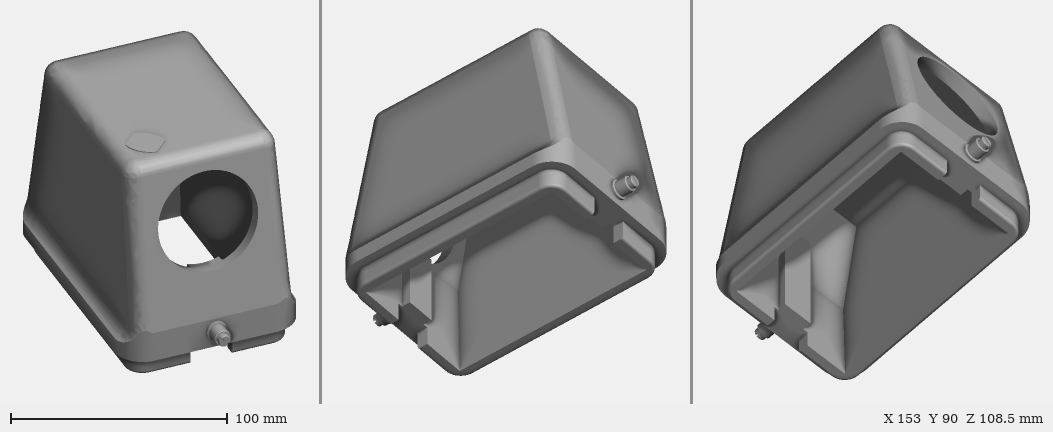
import cadquery as cq
import math

overall_length = 153.0
overall_height = 108.5
badge_height = 0.5
hood_top = overall_height - badge_height
solid_overlap = 1.5
selection_margin = 0.2

collar_length = 132.2
collar_width = 90.0
collar_corner_radius = 14.0
collar_bottom = 10.3
crease_height = 25.5
step_radius = 9.2
step_bottom = 16.8

end_slope = math.tan(math.radians(11.0))
side_slope = math.tan(math.radians(1.5))
hood_width_at_crease = 80.3
hood_edge_radius = 7.0

skirt_length = 121.5
skirt_width = 79.9
skirt_corner_radius = 9.0
skirt_bottom_radius = 1.5
notch_width = 21.1

wall = 6.5
cavity_length = 110.2
rib_width = 15.9
rib_inner_x = 50.5

entry_diameter = 50.0
entry_center_x = 56.8
entry_depth = 15.3

badge_center = (33.4, -21.4)
badge_angle = 45.0
badge_length = 15.8
badge_end_width = 10.5
badge_bulge = 2.5

pin_height = 19.1
pin_diameter = 6.1
pin_inner_x = cavity_length / 2
pin_turns = (0, 180)
tip_diameter = 6.0
tip_length = 2.3
pin_tip_chamfer = 0.3
slot_width = 0.9
slot_depth = 1.2
slot_angle = 45.0
sleeve_diameter = 8.0
sleeve_outer_x = 73.7
sleeve_face_diameter = 7.3
washer_diameter = 10.0
washer_thickness = 1.4
washer_rim = 1.0


def frustum(bottom, top, inset):
    """Four-sided tapered block that follows the hood's faces, moved inward by inset."""
    def section(z):
        rise = z - crease_height
        length = collar_length - 2 * (rise * end_slope + inset * math.hypot(1, end_slope))
        width = hood_width_at_crease - 2 * (rise * side_slope + inset * math.hypot(1, side_slope))
        return length, width

    return (
        cq.Workplane("XY", origin=(0, 0, bottom))
        .rect(*section(bottom))
        .workplane(offset=top - bottom)
        .rect(*section(top))
        .loft(ruled=True, combine=True)
    )


def rounded_block(length, width, corner_radius, bottom, top):
    """Upright block with rounded vertical edges."""
    return (
        cq.Workplane("XY", origin=(0, 0, bottom))
        .rect(length, width)
        .extrude(top - bottom)
        .edges("|Z")
        .fillet(corner_radius)
    )


def make_outer_shell():
    """Solid hood and collar: the hood blends into a broad foot that is trimmed to the collar."""
    hood = frustum(collar_bottom, hood_top, 0)
    hood = hood.edges("not(#Z)").fillet(hood_edge_radius)
    hood = hood.faces(">Z").edges().fillet(hood_edge_radius)

    foot_margin = 4 * step_radius
    foot = (
        cq.Workplane("XY", origin=(0, 0, collar_bottom))
        .rect(collar_length + foot_margin, collar_width + foot_margin)
        .extrude(step_bottom - collar_bottom)
    )
    junction = cq.selectors.BoxSelector(
        (-collar_length / 2 - step_radius, -collar_width / 2, step_bottom - selection_margin),
        (collar_length / 2 + step_radius, collar_width / 2, step_bottom + selection_margin),
    )
    blended = foot.union(hood).edges(junction).fillet(step_radius)
    collar_outline = rounded_block(
        collar_length, collar_width, collar_corner_radius, collar_bottom, hood_top
    )
    return blended.intersect(collar_outline)


def make_skirt():
    """Plug-in skirt with a rounded bottom rim."""
    skirt = rounded_block(
        skirt_length, skirt_width, skirt_corner_radius, 0, collar_bottom + solid_overlap
    )
    return skirt.faces("<Z").edges().fillet(skirt_bottom_radius)


def make_cavity():
    """Space inside the hood, open at the bottom, with a rib at each end left standing."""
    cavity_top = hood_top - wall
    straight_limit = (
        cq.Workplane("XY").rect(cavity_length, collar_width).extrude(hood_top)
    )
    cavity = frustum(0, cavity_top, wall).intersect(straight_limit)
    rib_depth = collar_length / 2 - rib_inner_x
    for side in (-1, 1):
        rib = (
            cq.Workplane("XY", origin=(side * (rib_inner_x + rib_depth / 2), 0, collar_bottom))
            .rect(rib_depth, rib_width)
            .extrude(hood_top - collar_bottom)
        )
        cavity = cavity.cut(rib)
    return cavity


def make_cable_entry():
    """Round cutter square to the sloping +X end face."""
    center_z = crease_height + (collar_length / 2 - entry_center_x) / end_slope
    face_plane = cq.Plane(
        origin=(entry_center_x, 0, center_z), xDir=(0, 1, 0), normal=(1, 0, end_slope)
    )
    return (
        cq.Workplane(face_plane)
        .workplane(offset=-entry_depth)
        .circle(entry_diameter / 2)
        .extrude(2 * entry_depth)
    )


def make_badge():
    """Barrel-shaped pad with two straight ends and two bowed sides."""
    half_length = badge_length / 2
    half_end = badge_end_width / 2
    bow = half_end + badge_bulge
    return (
        cq.Workplane("XY")
        .moveTo(-half_length, -half_end)
        .threePointArc((0, -bow), (half_length, -half_end))
        .lineTo(half_length, half_end)
        .threePointArc((0, bow), (-half_length, half_end))
        .close()
        .extrude(badge_height + solid_overlap)
        .rotate((0, 0, 0), (0, 0, 1), badge_angle)
        .translate((*badge_center, hood_top - solid_overlap))
    )


def round_bar(diameter, inner_x, outer_x):
    """Cylinder on the +X pin axis between two distances from the centre."""
    return (
        cq.Workplane("YZ", origin=(inner_x, 0, pin_height))
        .circle(diameter / 2)
        .extrude(outer_x - inner_x)
    )


def turned(body, turn):
    """Copy of a +X body turned about the hood's vertical axis."""
    return body.rotate((0, 0, 0), (0, 0, 1), turn)


def make_housing():
    """Hollow hood with skirt, end notches, cable entry, badge and pin holes."""
    notch = (
        cq.Workplane("XY").rect(collar_length, notch_width).extrude(collar_bottom)
    )
    pin_hole = round_bar(pin_diameter, pin_inner_x, collar_length / 2)
    housing = make_outer_shell().union(make_skirt()).cut(make_cavity()).cut(notch)
    housing = housing.cut(make_cable_entry()).union(make_badge())
    for turn in pin_turns:
        housing = housing.cut(turned(pin_hole, turn))
    return housing


def make_pin():
    """Pin with a slightly thinner, chamfered tip and a slanted screwdriver slot."""
    tip_x = overall_length / 2
    shoulder_x = tip_x - tip_length
    tip = round_bar(tip_diameter, shoulder_x, tip_x).faces(">X").chamfer(pin_tip_chamfer)
    pin = round_bar(pin_diameter, pin_inner_x, shoulder_x).union(tip)
    slot = (
        cq.Workplane("XY")
        .box(2 * slot_depth, slot_width, 2 * pin_diameter)
        .rotate((0, 0, 0), (1, 0, 0), slot_angle)
        .translate((tip_x, 0, pin_height))
    )
    return pin.cut(slot)


def make_sleeve():
    """Tube around the pin, chamfered at its outer face."""
    inner_x = collar_length / 2 + washer_thickness
    chamfer = (sleeve_diameter - sleeve_face_diameter) / 2
    sleeve = round_bar(sleeve_diameter, inner_x, sleeve_outer_x).faces(">X").chamfer(chamfer)
    return sleeve.cut(round_bar(pin_diameter, inner_x, sleeve_outer_x))


def make_washer():
    """Ring seated on the collar, coned down to the sleeve's diameter."""
    inner_x = collar_length / 2
    outer_x = inner_x + washer_thickness
    cone_height = (washer_diameter - sleeve_diameter) / 2
    washer = round_bar(washer_diameter, inner_x, outer_x)
    washer = washer.faces(">X").edges().chamfer(washer_thickness - washer_rim, cone_height)
    return washer.cut(round_bar(pin_diameter, inner_x, outer_x))


housing = make_housing()
pins = [turned(make_pin(), turn) for turn in pin_turns]
sleeves = [turned(make_sleeve(), turn) for turn in pin_turns]
washers = [turned(make_washer(), turn) for turn in pin_turns]

result = cq.Compound.makeCompound(
    [housing.val(), *[body.val() for body in pins + sleeves + washers]]
)